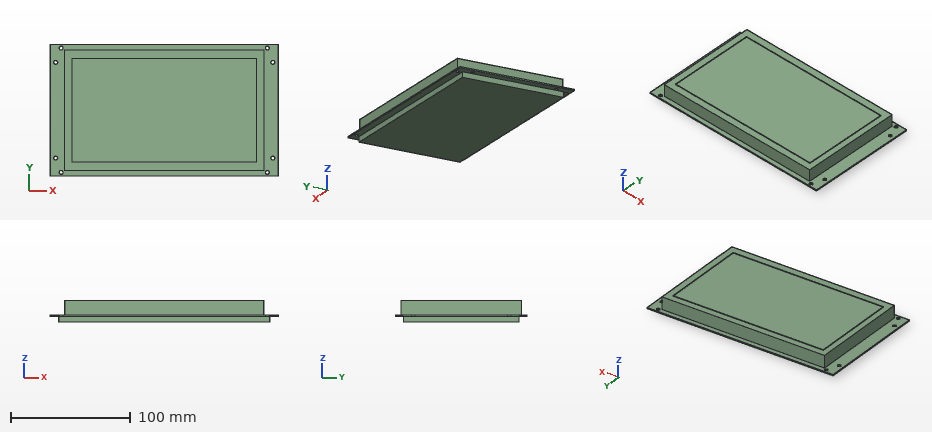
import cadquery as cq

plate_length = 190.4
plate_width = 110.0
plate_thickness = 1.1

frame_length = 166.2
frame_width = 101.0
frame_height = 12.2

housing_length = 176.3
housing_width = 96.7
housing_depth = 5.0

screen_length = 153.7
screen_width = 86.6
screen_depth = 0.5

hole_diameter = 3.0
corner_hole_spacing = (172.1, 103.8)
side_hole_spacing = (181.3, 80.0)

plate_bottom = housing_depth
plate_top = plate_bottom + plate_thickness
frame_top = plate_top + frame_height


def centred_block(length, width, height, bottom):
    """Rectangular block centred on the Z axis, starting at the given level."""
    return cq.Workplane("XY").box(length, width, height, centered=(True, True, False)).translate((0, 0, bottom))


def hole_group(spacing):
    """Four plate holes at the corners of a centred rectangle."""
    return (
        cq.Workplane("XY", origin=(0, 0, plate_bottom))
        .rect(*spacing, forConstruction=True)
        .vertices()
        .circle(hole_diameter / 2)
        .extrude(plate_thickness)
    )


housing = centred_block(housing_length, housing_width, housing_depth, 0)
plate = centred_block(plate_length, plate_width, plate_thickness, plate_bottom)
frame = centred_block(frame_length, frame_width, frame_height, plate_top)
screen_recess = centred_block(screen_length, screen_width, screen_depth, frame_top - screen_depth)

result = housing.union(plate).union(frame).cut(screen_recess)
for spacing in (corner_hole_spacing, side_hole_spacing):
    result = result.cut(hole_group(spacing))